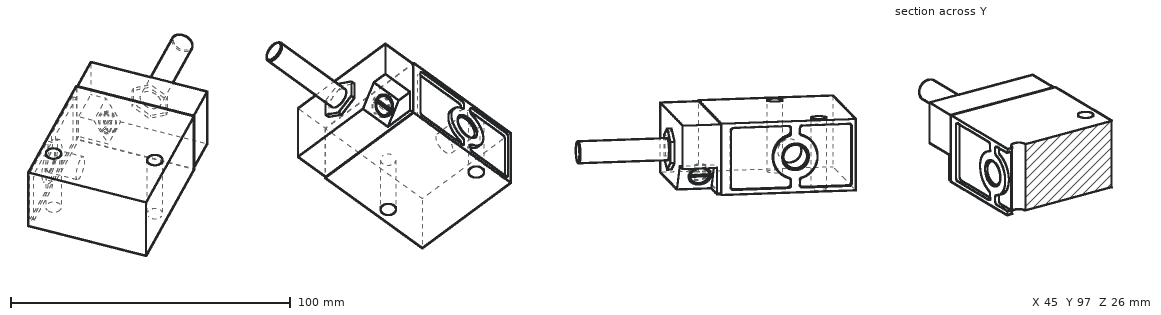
import cadquery as cq
import math

body_width = 45.0
body_height = 26.0
overall_length = 97

body_length = 48.9
cap_length = 14.0
cap_inset = 0.3
cap_width = body_width - 2 * cap_inset
cap_height = body_height - 2 * cap_inset
cap_end = body_length + cap_length

nut_corner_diameter = 15.0
nut_thickness = 1.6
cable_diameter = 8.0
cable_chamfer = 0.4

port_y = 21.9
port_diameter = 8.5
port_depth = 11.6
port_chamfer = 0.6

pocket_depth = 1.6
pocket_front = 1.5
pocket_rear = 45.4
pocket_height = 22.6
pocket_corner_radius = 1.1
web_width = 3.2
land_diameter = 16.1

mount_diameter = 5.5
mount_x = 17.6
mount_left_y = 12.5
mount_right_y = 22.0

notch_height = 9.6
notch_ceiling_depth = 5.8
notch_lean = 30
notch_start = body_length + 1.5

screw_y = 55.1
screw_height = 5.2
bore_diameter = 8.0
screw_diameter = 7.0
bore_depth = 2.1
screw_sink = 0.2
slot_length = 7.5
slot_width = 0.9
slot_depth = 1.9

left_face = -body_width / 2
cap_left = -cap_width / 2
cap_bottom = -cap_height / 2


def block(width, y_start, y_end, height):
    """Box centred on X = 0 and Z = 0 between two Y positions."""
    length = y_end - y_start
    return cq.Workplane("XY").box(width, length, height).translate((0, y_start + length / 2, 0))


def rear_plane(y):
    """Plane facing +Y at the given Y position."""
    return cq.Workplane(cq.Plane((0, y, 0), xDir=(1, 0, 0), normal=(0, 1, 0)))


def left_plane():
    """Plane on the left face; local x runs along +Y, extrusion runs into the body."""
    return cq.Workplane(cq.Plane((left_face, 0, 0), xDir=(0, 1, 0), normal=(1, 0, 0)))


def nut_and_cable():
    nut_end = cap_end + nut_thickness
    nut = rear_plane(cap_end).transformed(rotate=(0, 0, 90)).polygon(6, nut_corner_diameter)
    nut = nut.extrude(nut_thickness)
    cable = rear_plane(nut_end).circle(cable_diameter / 2).extrude(overall_length - nut_end)
    return nut.union(cable.faces(">Y").chamfer(cable_chamfer))


def side_pockets():
    middle = (pocket_front + pocket_rear) / 2
    area = left_plane().center(middle, 0).rect(pocket_rear - pocket_front, pocket_height)
    area = area.extrude(pocket_depth)
    web = left_plane().center(port_y, 0).rect(web_width, pocket_height).extrude(pocket_depth)
    land = left_plane().center(port_y, 0).circle(land_diameter / 2).extrude(pocket_depth)
    return area.cut(web).cut(land).edges("|X").fillet(pocket_corner_radius)


def port():
    bore = left_plane().center(port_y, 0).circle(port_diameter / 2).extrude(port_depth)
    mouth_radius = port_diameter / 2 + port_chamfer
    mouth = left_plane().center(port_y, 0).circle(mouth_radius).extrude(port_chamfer, taper=45)
    return bore.union(mouth)


def mounting_holes():
    centres = [(-mount_x, mount_left_y), (mount_x, mount_right_y)]
    holes = cq.Workplane("XY").pushPoints(centres).circle(mount_diameter / 2)
    return holes.extrude(body_height, both=True)


def notch_wall_x(height):
    """X of the leaning wall at a height above the bottom of the cap."""
    lean = (notch_height - height) * math.tan(math.radians(notch_lean))
    return cap_left + notch_ceiling_depth + lean


def notch():
    ceiling = cap_bottom + notch_height
    section = [
        (cap_left, cap_bottom),
        (cap_left, ceiling),
        (notch_wall_x(notch_height), ceiling),
        (notch_wall_x(0), cap_bottom),
    ]
    profile = cq.Workplane("XZ", origin=(0, notch_start, 0)).polyline(section).close()
    return profile.extrude(notch_start - cap_end)


def screw_recess():
    angle = math.radians(notch_lean)
    inward = (math.cos(angle), 0, math.sin(angle))
    centre = (notch_wall_x(screw_height), screw_y, cap_bottom + screw_height)
    face = cq.Workplane(cq.Plane(centre, xDir=(0, 1, 0), normal=inward))
    bore = face.circle(bore_diameter / 2).extrude(bore_depth)
    screw_top = face.workplane(offset=screw_sink)
    screw = screw_top.circle(screw_diameter / 2).extrude(bore_depth - screw_sink)
    slot = screw_top.rect(slot_length, slot_width).extrude(slot_depth)
    return bore.cut(screw).union(slot)


body = block(body_width, 0, body_length, body_height)
cap = block(cap_width, body_length, cap_end, cap_height)

result = body.union(cap).union(nut_and_cable())
for cutter in (side_pockets(), port(), mounting_holes(), notch(), screw_recess()):
    result = result.cut(cutter)